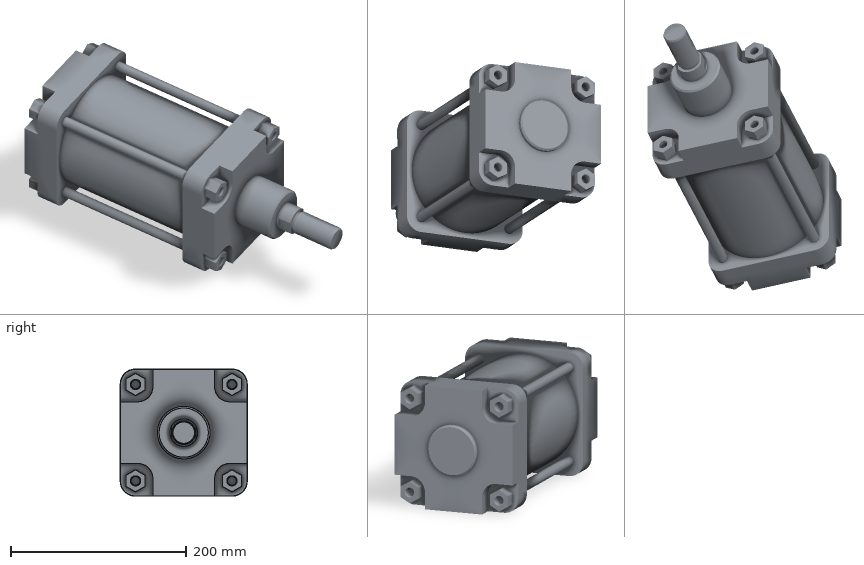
import cadquery as cq
import math

TOTAL_LENGTH = 385.0
REAR_BOSS_LENGTH = 6.0
CAP_THICKNESS = 44.0
BARREL_LENGTH = 171.7
COLLAR_LENGTH = 47.0
REAR_CAP_X = REAR_BOSS_LENGTH
BARREL_X = REAR_CAP_X + CAP_THICKNESS
FRONT_CAP_X = BARREL_X + BARREL_LENGTH
COLLAR_X = FRONT_CAP_X + CAP_THICKNESS
COLLAR_END_X = COLLAR_X + COLLAR_LENGTH

CAP_WIDTH = 145.0
CORNER_RADIUS = 17.5
NOTCH_SPACING = 70.5
NOTCH_DEPTH = 17.7
NOTCH_WIDTH = (CAP_WIDTH - NOTCH_SPACING) / 2
BOSS_RADIUS = 30.0
BOSS_CHAMFER = 2.0

BARREL_RADIUS = 66.5

TIE_SPACING = 110.0
TIE_RADIUS = 5.8
NUT_ACROSS_FLATS = 22.0
NUT_LENGTH = 15.5
NUT_CORNER_DIAMETER = NUT_ACROSS_FLATS / math.cos(math.pi / 6)
NUT_HOLE_RADIUS = 5.0
NUT_HOLE_CHAMFER = 0.8

ROD_RADIUS = 15.8
ROD_FLAT_WIDTH = 27.7
ROD_FLAT_LENGTH = 15.8
ROD_FLAT_GAP = 2.5
ROD_FLAT_X = COLLAR_END_X + ROD_FLAT_GAP
ROD_SHOULDER_X = ROD_FLAT_X + ROD_FLAT_LENGTH
NECK_LENGTH = 3.5
NECK_RADIUS = 12.5
THREAD_X = ROD_SHOULDER_X + NECK_LENGTH
THREAD_RADIUS = 13.5
ROD_END_RADIUS = 12.5
ROD_END_CHAMFER = 2.5

SIDES = (-1, 1)
CORNERS = [(y, z) for y in SIDES for z in SIDES]
TIE_CENTERS = [(y * TIE_SPACING / 2, z * TIE_SPACING / 2) for y, z in CORNERS]


def plane_at(x):
    """YZ work plane at a station along the cylinder axis."""
    return cq.Workplane("YZ", origin=(x, 0, 0))


def make_cap(x, notch_x):
    """Square end cap with rounded edges, a notch in each corner and four tie rod holes."""
    cap = plane_at(x).rect(CAP_WIDTH, CAP_WIDTH).extrude(CAP_THICKNESS)
    cap = cap.edges("|X").fillet(CORNER_RADIUS)
    notch_center = NOTCH_SPACING / 2 + NOTCH_WIDTH
    notches = (
        plane_at(notch_x)
        .pushPoints([(y * notch_center, z * notch_center) for y, z in CORNERS])
        .rect(2 * NOTCH_WIDTH, 2 * NOTCH_WIDTH)
        .extrude(NOTCH_DEPTH)
        .edges("|X")
        .fillet(CORNER_RADIUS)
    )
    tie_holes = plane_at(x).pushPoints(TIE_CENTERS).circle(TIE_RADIUS).extrude(CAP_THICKNESS)
    return cap.cut(notches).cut(tie_holes)


def make_rear_cap():
    """Rear cap with a low chamfered boss on its outer face."""
    boss = plane_at(0).circle(BOSS_RADIUS).extrude(REAR_BOSS_LENGTH)
    boss = boss.faces("<X").chamfer(BOSS_CHAMFER)
    return make_cap(REAR_CAP_X, REAR_CAP_X).union(boss)


def make_front_cap():
    """Front cap with a long chamfered collar, bored through for the piston rod."""
    collar = plane_at(COLLAR_X).circle(BOSS_RADIUS).extrude(COLLAR_LENGTH)
    collar = collar.faces(">X").chamfer(BOSS_CHAMFER)
    rod_bore = plane_at(FRONT_CAP_X).circle(ROD_RADIUS).extrude(CAP_THICKNESS + COLLAR_LENGTH)
    return make_cap(FRONT_CAP_X, COLLAR_X - NOTCH_DEPTH).union(collar).cut(rod_bore)


def make_barrel():
    """Plain round barrel between the two caps."""
    return plane_at(BARREL_X).circle(BARREL_RADIUS).extrude(BARREL_LENGTH)


def make_piston_rod():
    """Stepped rod with wrench flats, a neck and a chamfered end."""
    profile = [
        (FRONT_CAP_X, 0),
        (FRONT_CAP_X, ROD_RADIUS),
        (ROD_SHOULDER_X, ROD_RADIUS),
        (ROD_SHOULDER_X, NECK_RADIUS),
        (THREAD_X, NECK_RADIUS),
        (THREAD_X, THREAD_RADIUS),
        (TOTAL_LENGTH - ROD_END_CHAMFER, THREAD_RADIUS),
        (TOTAL_LENGTH, ROD_END_RADIUS),
        (TOTAL_LENGTH, 0),
    ]
    rod = cq.Workplane("XY").polyline(profile).close().revolve(360, (0, 0, 0), (1, 0, 0))
    flat_depth = ROD_RADIUS - ROD_FLAT_WIDTH / 2
    flat_center = (ROD_FLAT_WIDTH + flat_depth) / 2
    flats = (
        plane_at(ROD_FLAT_X)
        .pushPoints([(side * flat_center, 0) for side in SIDES])
        .rect(flat_depth, 2 * ROD_RADIUS)
        .extrude(ROD_FLAT_LENGTH)
    )
    return rod.cut(flats)


def make_tie_rod(y, z):
    """Tie rod with a hexagonal nut at each end; each nut has a chamfered blind hole."""
    rear_nut_x = REAR_CAP_X + NOTCH_DEPTH
    front_nut_x = COLLAR_X - NOTCH_DEPTH
    tie_rod = plane_at(rear_nut_x).center(y, z).circle(TIE_RADIUS).extrude(front_nut_x - rear_nut_x)
    for nut_x, direction in ((rear_nut_x, -1), (front_nut_x, 1)):
        nut = (
            plane_at(nut_x)
            .center(y, z)
            .transformed(rotate=(0, 0, 90))
            .polygon(6, NUT_CORNER_DIAMETER)
            .extrude(direction * NUT_LENGTH)
        )
        hole = plane_at(nut_x).center(y, z).circle(NUT_HOLE_RADIUS).extrude(direction * NUT_LENGTH)
        nut = nut.cut(hole)
        outer_face = nut.faces("<X" if direction < 0 else ">X")
        nut = outer_face.edges("%CIRCLE").chamfer(NUT_HOLE_CHAMFER)
        tie_rod = tie_rod.union(nut)
    return tie_rod


rear_cap = make_rear_cap()
front_cap = make_front_cap()
barrel = make_barrel()
piston_rod = make_piston_rod()
tie_rods = [make_tie_rod(y, z) for y, z in TIE_CENTERS]

result = cq.Compound.makeCompound([
    rear_cap.val(),
    front_cap.val(),
    barrel.val(),
    piston_rod.val(),
    *[tie_rod.val() for tie_rod in tie_rods],
])